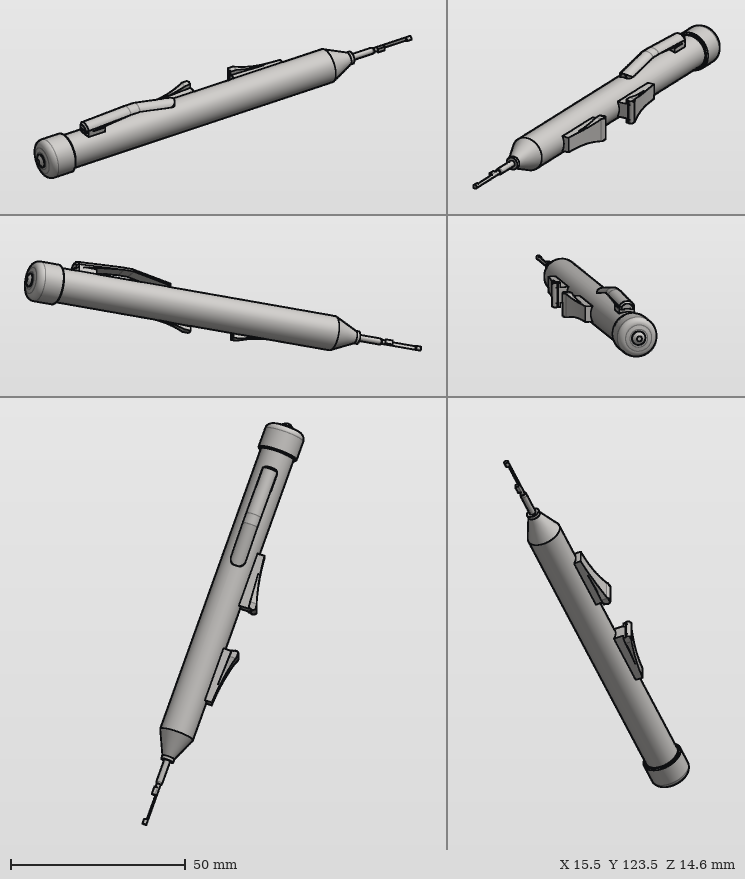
import cadquery as cq

TOTAL_LENGTH = 123.5

BODY_DIAMETER = 10.0
BODY_RADIUS = BODY_DIAMETER / 2
CAP_RADIUS = 5.8
CAP_FRONT_Y = 9.4
CAP_BEVEL = 0.4
CAP_ROUND = 2.0
CAP_FACE_Y = 1.4
BUTTON_SEAT_RADIUS = 2.6
BUTTON_SEAT_Y = 1.1
BUTTON_RADIUS = 2.0
BUTTON_EDGE_Y = 0.9
BUTTON_FLAT_RADIUS = 0.7

CONE_REAR_Y = 95.9
CONE_FRONT_Y = 102.9
CONE_FRONT_RADIUS = 1.9
RING_FRONT_Y = 103.9
TUBE_RADIUS = 0.93
TUBE_FRONT_Y = 111.2
TUBE_BEVEL_LENGTH = 0.6
TUBE_BEVEL_RADIUS = 0.8
NEEDLE_RADIUS = 0.6
TIP_HEAD_LENGTH = 1.5
CATCH_FRONT_Y = 114.5
CATCH_LENGTH = 2.2
WEB_FACE_X = -0.19

LEVER_LENGTH = 16.0
LEVER_ROOT = 3.5
LEVER_THIN_HEIGHT = 6.5
LEVER_MIDDLE = (6.7, 7.2)
LEVER_RAMP_END = (13.8, 8.6)
LEVER_HEIGHT = 9.3
LEVER_NOSE_MIDDLE = (14.6, 9.0)
LEVER_NOSE_END = (15.6, LEVER_HEIGHT)
LEVER_TIP_MIDDLE = (16.2, 8.6)
LEVER_TIP_END = (16.3, 7.9)
LEVER_END_HEIGHT = 7.5
PAD_FLOOR_THIN = 6.2
PAD_FLOOR_WIDE = 6.9
NECK_WIDTH = 4.6
NECK_HALF_WIDTH = NECK_WIDTH / 2
PAD_WIDTH = 7.0
PAD_HALF_WIDTH = PAD_WIDTH / 2
FLARE_START = 5.5
FLARE_MIDDLE = (10.5, 2.7)
FLARE_END = 14.2
PAD_CORNER = 0.4
FRONT_LEVER_Y = 84.1
REAR_LEVER_Y = 38.8
REAR_LEVER_TILT = 1.4

CLIP_HALF_WIDTH = 2.2
CLIP_TOP_Z = 8.8
CLIP_CROWN_DROP = 1.5
CLIP_CROWN_DEPTH = 3.1
CLIP_THICKNESS = 1.5
CLIP_FRONT_Y = 45.0
CLIP_FRONT_TOP_Z = 6.3
CLIP_FRONT_BOTTOM_Z = 4.8
CLIP_FRONT_SLANT = 0.4
CLIP_PEAK_FRONT_Y = 32.6
CLIP_PEAK_REAR_Y = 29.5
CLIP_REAR_Y = 14.8
CLIP_REAR_TOP_Z = 8.0
CLIP_REAR_BEVEL = 0.6
CLIP_REAR_BOTTOM_Z = 5.7
POST_FRONT_Y = 21.0
POST_REAR_Y = 15.6
POST_ROOT_Z = 3.7
POST_OVERLAP = 0.2


def make_barrel():
    """Revolved barrel with rear cap, push button, nose cone and needle."""
    profile = (
        cq.Workplane("XY")
        .moveTo(0, 0)
        .lineTo(BUTTON_FLAT_RADIUS, 0)
        .lineTo(BUTTON_RADIUS, BUTTON_EDGE_Y)
        .lineTo(BUTTON_RADIUS, BUTTON_SEAT_Y)
        .lineTo(BUTTON_SEAT_RADIUS, BUTTON_SEAT_Y)
        .lineTo(CAP_RADIUS - CAP_ROUND, CAP_FACE_Y)
        .radiusArc((CAP_RADIUS, CAP_FACE_Y + CAP_ROUND), -CAP_ROUND)
        .lineTo(CAP_RADIUS, CAP_FRONT_Y - CAP_BEVEL)
        .lineTo(CAP_RADIUS - CAP_BEVEL, CAP_FRONT_Y)
        .lineTo(BODY_RADIUS, CAP_FRONT_Y)
        .lineTo(BODY_RADIUS, CONE_REAR_Y)
        .lineTo(CONE_FRONT_RADIUS, CONE_FRONT_Y)
        .lineTo(CONE_FRONT_RADIUS, RING_FRONT_Y)
        .lineTo(TUBE_RADIUS, RING_FRONT_Y)
        .lineTo(TUBE_RADIUS, TUBE_FRONT_Y - TUBE_BEVEL_LENGTH)
        .lineTo(TUBE_BEVEL_RADIUS, TUBE_FRONT_Y)
        .lineTo(NEEDLE_RADIUS, TUBE_FRONT_Y)
        .lineTo(NEEDLE_RADIUS, TOTAL_LENGTH)
        .lineTo(0, TOTAL_LENGTH)
        .close()
    )
    return profile.revolve(360, (0, 0, 0), (0, 1, 0))


def make_needle_gap():
    """Space behind the needle head that leaves only a thin web on the -X side."""
    gap_length = TOTAL_LENGTH - TIP_HEAD_LENGTH - CATCH_FRONT_Y
    return cq.Workplane("XY").box(
        2 * NEEDLE_RADIUS, gap_length, 4 * NEEDLE_RADIUS, centered=(False, False, True)
    ).translate((WEB_FACE_X, CATCH_FRONT_Y, 0))


def make_catch():
    """Small block on the +X side of the needle, facing the gap."""
    return cq.Workplane("XY").box(
        TUBE_RADIUS, CATCH_LENGTH, 2 * NEEDLE_RADIUS, centered=(False, False, True)
    ).translate((0, CATCH_FRONT_Y - CATCH_LENGTH, 0))


def lever_side(root_thin, root_wide):
    """Side outline of a lever (length, height) above the given root heights."""
    return (
        cq.Workplane("XY")
        .moveTo(0, root_thin)
        .lineTo(0, LEVER_THIN_HEIGHT)
        .threePointArc(LEVER_MIDDLE, LEVER_RAMP_END)
        .threePointArc(LEVER_NOSE_MIDDLE, LEVER_NOSE_END)
        .threePointArc(LEVER_TIP_MIDDLE, LEVER_TIP_END)
        .lineTo(LEVER_LENGTH, LEVER_END_HEIGHT)
        .lineTo(LEVER_LENGTH, root_wide)
        .close()
    )


def make_lever():
    """Lever along +X with its height along +Y: a straight neck under a flared pad."""
    neck = lever_side(LEVER_ROOT, LEVER_ROOT).extrude(NECK_HALF_WIDTH, both=True)
    pad = lever_side(PAD_FLOOR_THIN, PAD_FLOOR_WIDE).extrude(PAD_HALF_WIDTH, both=True)

    plan_end = LEVER_TIP_END[0]
    middle_x, middle_z = FLARE_MIDDLE
    plan = (
        cq.Workplane("XZ")
        .moveTo(0, -NECK_HALF_WIDTH)
        .lineTo(FLARE_START, -NECK_HALF_WIDTH)
        .threePointArc((middle_x, -middle_z), (FLARE_END, -PAD_HALF_WIDTH))
        .lineTo(plan_end, -PAD_HALF_WIDTH)
        .lineTo(plan_end, PAD_HALF_WIDTH)
        .lineTo(FLARE_END, PAD_HALF_WIDTH)
        .threePointArc((middle_x, middle_z), (FLARE_START, NECK_HALF_WIDTH))
        .lineTo(0, NECK_HALF_WIDTH)
        .close()
        .extrude(-LEVER_HEIGHT)
    )
    envelope = (
        cq.Workplane("XY")
        .box(plan_end, LEVER_HEIGHT - PAD_FLOOR_THIN, 2 * PAD_HALF_WIDTH, centered=(False, False, True))
        .edges("|X")
        .chamfer(PAD_CORNER)
        .translate((0, PAD_FLOOR_THIN, 0))
    )
    return neck.union(pad.intersect(plan).intersect(envelope))


def place_lever(lever, thin_end_y):
    """Stand the lever on the -X side with its wide end toward +Y."""
    return lever.rotate((0, 0, 0), (0, 0, 1), 90).translate((0, thin_end_y, 0))


def make_levers():
    """Two levers with their wide ends facing each other; the rear one is tilted outward."""
    lever = make_lever()
    pivot = (0, LEVER_THIN_HEIGHT, 0)
    tilted = lever.rotate(pivot, (0, LEVER_THIN_HEIGHT, 1), REAR_LEVER_TILT)
    rear = place_lever(tilted, REAR_LEVER_Y)
    front = place_lever(lever, -FRONT_LEVER_Y).mirror("XZ")
    return front, rear


def make_clip():
    """Bent bar with a crowned top and rounded free end, standing on a post."""
    top_line = [
        (CLIP_FRONT_Y, CLIP_FRONT_TOP_Z),
        (CLIP_PEAK_FRONT_Y, CLIP_TOP_Z),
        (CLIP_PEAK_REAR_Y, CLIP_TOP_Z),
        (CLIP_REAR_Y, CLIP_REAR_TOP_Z),
    ]
    bottom_line = [
        (CLIP_REAR_Y, CLIP_REAR_BOTTOM_Z),
        (CLIP_PEAK_REAR_Y, CLIP_TOP_Z - CLIP_THICKNESS),
        (CLIP_PEAK_FRONT_Y, CLIP_TOP_Z - CLIP_THICKNESS),
        (CLIP_FRONT_Y - CLIP_FRONT_SLANT, CLIP_FRONT_BOTTOM_Z),
    ]
    bar = (
        cq.Workplane("YZ")
        .polyline(top_line + bottom_line)
        .close()
        .extrude(CLIP_HALF_WIDTH, both=True)
    )

    (start_y, start_z), (next_y, next_z) = top_line[:2]
    section_plane = cq.Plane(
        origin=(0, start_y, start_z),
        xDir=(1, 0, 0),
        normal=(0, next_y - start_y, next_z - start_z),
    )
    crown = (
        cq.Workplane(section_plane)
        .moveTo(-CLIP_HALF_WIDTH, -CLIP_CROWN_DROP)
        .threePointArc((0, 0), (CLIP_HALF_WIDTH, -CLIP_CROWN_DROP))
        .lineTo(CLIP_HALF_WIDTH, -CLIP_CROWN_DEPTH)
        .lineTo(-CLIP_HALF_WIDTH, -CLIP_CROWN_DEPTH)
        .close()
        .sweep(cq.Workplane("YZ").polyline(top_line), transition="right")
    )

    round_center_y = CLIP_FRONT_Y - CLIP_HALF_WIDTH
    plan = (
        cq.Workplane("XY")
        .moveTo(-CLIP_HALF_WIDTH, CLIP_REAR_Y)
        .lineTo(CLIP_HALF_WIDTH, CLIP_REAR_Y)
        .lineTo(CLIP_HALF_WIDTH, round_center_y)
        .threePointArc((0, CLIP_FRONT_Y), (-CLIP_HALF_WIDTH, round_center_y))
        .close()
        .extrude(CLIP_TOP_Z)
    )
    post = (
        cq.Workplane("XY")
        .workplane(offset=POST_ROOT_Z)
        .moveTo(-CLIP_HALF_WIDTH, POST_FRONT_Y)
        .lineTo(-CLIP_HALF_WIDTH, POST_REAR_Y)
        .threePointArc((0, CLIP_REAR_Y), (CLIP_HALF_WIDTH, POST_REAR_Y))
        .lineTo(CLIP_HALF_WIDTH, POST_FRONT_Y)
        .close()
        .extrude(CLIP_REAR_BOTTOM_Z + POST_OVERLAP - POST_ROOT_Z)
    )
    bar = bar.intersect(crown).intersect(plan)
    bar = bar.faces("<Y").edges("not <Z").chamfer(CLIP_REAR_BEVEL)
    return bar.union(post)


front_lever, rear_lever = make_levers()
result = make_barrel().cut(make_needle_gap()).union(make_catch())
result = result.union(front_lever).union(rear_lever).union(make_clip())